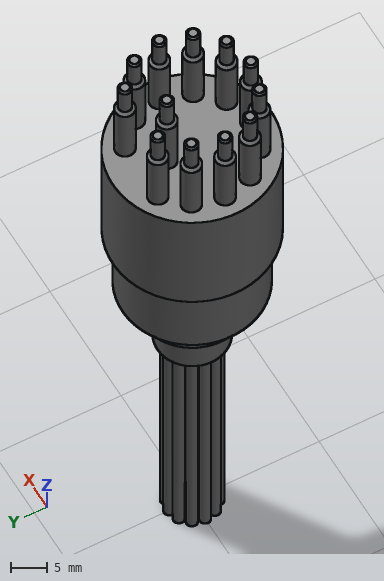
import cadquery as cq
import math

wire_diameter = 1.7
wire_count = 12
wire_circle_radius = 3.6
wire_length = 40.0

neck_diameter = 11.0
neck_length = 6.0
cone_length = 2.0
collar_diameter = 16.0
collar_length = 5.0
barrel_diameter = 22.0
barrel_length = 12.5
head_diameter = 25.0
head_length = 19.0

pin_diameter = 3.0
pin_tip_diameter = 2.0
pin_length = 14.5
pin_shank_length = 9.5
shoulder_length = 0.5
tip_chamfer = 0.3
pin_position_count = 12
pin_circle_radius = 9.25
key_pin_radius = 4.0
key_pin_angle = 90.0

neck_bottom = wire_length
cone_bottom = neck_bottom + neck_length
collar_bottom = cone_bottom + cone_length
barrel_bottom = collar_bottom + collar_length
head_bottom = barrel_bottom + barrel_length
head_top = head_bottom + head_length


def polar_point(radius, angle):
    """Point on a circle about the part axis; angle in degrees from +X."""
    return (radius * math.cos(math.radians(angle)), radius * math.sin(math.radians(angle)))


def make_body():
    """Stepped body of revolution with a conical transition above the neck."""
    outline = [
        (0, neck_bottom),
        (neck_diameter / 2, neck_bottom),
        (neck_diameter / 2, cone_bottom),
        (collar_diameter / 2, collar_bottom),
        (collar_diameter / 2, barrel_bottom),
        (barrel_diameter / 2, barrel_bottom),
        (barrel_diameter / 2, head_bottom),
        (head_diameter / 2, head_bottom),
        (head_diameter / 2, head_top),
        (0, head_top),
    ]
    return cq.Workplane("XZ").polyline(outline).close().revolve(360, (0, 0), (0, 1))


def make_wires():
    """Ring of straight wires hanging from the underside of the neck."""
    step = 360 / wire_count
    centres = [polar_point(wire_circle_radius, i * step) for i in range(wire_count)]
    return cq.Workplane("XY").pushPoints(centres).circle(wire_diameter / 2).extrude(wire_length)


def pin_centres():
    """Evenly spaced pin positions, with the key pin moved inwards."""
    centres = []
    for i in range(pin_position_count):
        angle = i * 360 / pin_position_count
        radius = key_pin_radius if angle == key_pin_angle else pin_circle_radius
        centres.append(polar_point(radius, angle))
    return centres


def make_pins():
    """Stepped contact pins with a conical shoulder and a chamfered tip."""
    tip_start = pin_shank_length + shoulder_length
    outline = [
        (0, 0),
        (pin_diameter / 2, 0),
        (pin_diameter / 2, pin_shank_length),
        (pin_tip_diameter / 2, tip_start),
        (pin_tip_diameter / 2, pin_length - tip_chamfer),
        (pin_tip_diameter / 2 - tip_chamfer, pin_length),
        (0, pin_length),
    ]
    pin = cq.Workplane("XZ").polyline(outline).close().revolve(360, (0, 0), (0, 1)).val()
    locations = [cq.Location(cq.Vector(x, y, head_top)) for x, y in pin_centres()]
    return [pin.moved(location) for location in locations]


result = make_body().union(make_wires())
for contact_pin in make_pins():
    result = result.union(cq.Workplane(contact_pin))